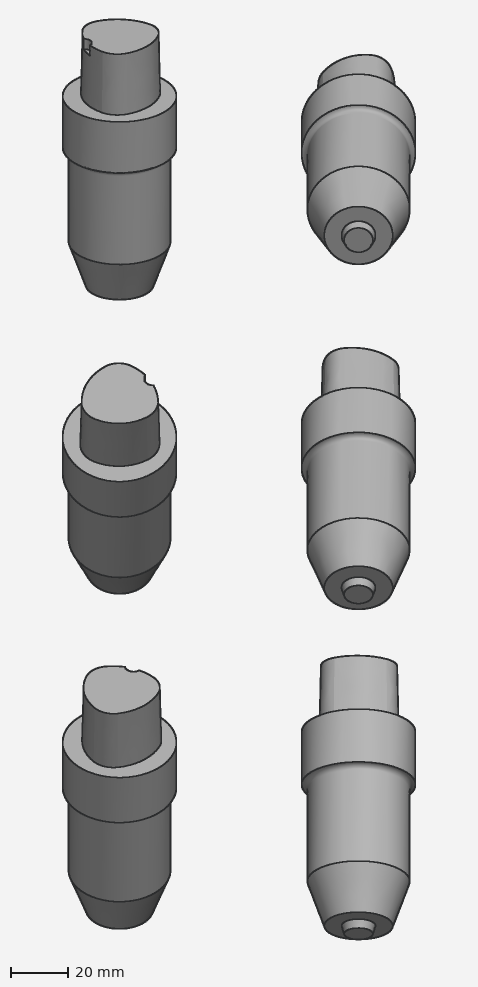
import cadquery as cq
import math

TOTAL_HEIGHT = 101.0
SHANK_HEIGHT = 23.7
FLANGE_HEIGHT = 20.2
RELIEF_HEIGHT = 2.1
NOSE_HEIGHT = 20.0
TIP_HEIGHT = 3.0

FLANGE_RADIUS = 40.0 / 2
BODY_RADIUS = 36.0 / 2
NOSE_END_RADIUS = 12.0
TIP_ROOT_RADIUS = 6.0
TIP_END_RADIUS = 5.0

LOBE_CENTRE_DISTANCE = 5.9
LOBE_RADIUS = 8.9
FLANK_DISTANCE = 13.1
SHANK_INSET = 0.5
LOBE_COUNT = 3

NOTCH_RADIUS = 3.0
NOTCH_DEPTH = 4.0
NOTCH_CENTRE_Y = -13.8

flange_top = TOTAL_HEIGHT - SHANK_HEIGHT
flange_bottom = flange_top - FLANGE_HEIGHT
relief_bottom = flange_bottom - RELIEF_HEIGHT

lobe_across = LOBE_CENTRE_DISTANCE * math.sin(math.pi / LOBE_COUNT)
lobe_along = LOBE_CENTRE_DISTANCE * math.cos(math.pi / LOBE_COUNT)
radius_gap = FLANK_DISTANCE - LOBE_RADIUS
flank_offset = (LOBE_CENTRE_DISTANCE**2 - radius_gap**2) / (2 * (radius_gap - lobe_along))
flank_radius = FLANK_DISTANCE + flank_offset
half_flank = math.degrees(math.atan2(lobe_across, lobe_along + flank_offset))
half_lobe = 180 / LOBE_COUNT - half_flank


def polar(radius, degrees, centre=(0, 0)):
    angle = math.radians(degrees)
    return (centre[0] + radius * math.cos(angle), centre[1] + radius * math.sin(angle))


def make_body():
    """Turned body with a concave relief under the flange and a conical nose."""
    relief_middle = (
        FLANGE_RADIUS - (FLANGE_RADIUS - BODY_RADIUS) * math.sin(math.pi / 4),
        relief_bottom + RELIEF_HEIGHT * math.sin(math.pi / 4),
    )
    profile = (
        cq.Workplane("XZ")
        .lineTo(TIP_END_RADIUS, 0)
        .lineTo(TIP_ROOT_RADIUS, TIP_HEIGHT)
        .lineTo(NOSE_END_RADIUS, TIP_HEIGHT)
        .lineTo(BODY_RADIUS, NOSE_HEIGHT)
        .lineTo(BODY_RADIUS, relief_bottom)
        .threePointArc(relief_middle, (FLANGE_RADIUS, flange_bottom))
        .lineTo(FLANGE_RADIUS, flange_top)
        .lineTo(0, flange_top)
        .close()
    )
    return profile.revolve(360, (0, 0, 0), (0, 1, 0))


def add_lobed_outline(plane, inset):
    """Lobe arcs joined by tangent flank arcs, all drawn in by the inset; one lobe points to +Y."""
    lobe_radius = LOBE_RADIUS - inset
    inset_flank_radius = flank_radius - inset
    first_lobe = 90
    first_centre = polar(LOBE_CENTRE_DISTANCE, first_lobe)
    outline = plane.moveTo(*polar(lobe_radius, first_lobe - half_lobe, first_centre))
    for index in range(LOBE_COUNT):
        lobe_direction = first_lobe + index * 360 / LOBE_COUNT
        lobe_centre = polar(LOBE_CENTRE_DISTANCE, lobe_direction)
        outline = outline.threePointArc(
            polar(lobe_radius, lobe_direction, lobe_centre),
            polar(lobe_radius, lobe_direction + half_lobe, lobe_centre),
        )
        flank_direction = lobe_direction + 180 / LOBE_COUNT
        flank_centre = polar(flank_offset, flank_direction + 180)
        outline = outline.threePointArc(
            polar(inset_flank_radius, flank_direction, flank_centre),
            polar(inset_flank_radius, flank_direction + half_flank, flank_centre),
        )
    return outline.close()


def make_shank():
    base = add_lobed_outline(cq.Workplane("XY", origin=(0, 0, flange_top)), 0)
    return add_lobed_outline(base.workplane(offset=SHANK_HEIGHT), SHANK_INSET).loft(ruled=True)


def make_notch():
    floor = TOTAL_HEIGHT - NOTCH_DEPTH
    return cq.Workplane("XY", origin=(0, NOTCH_CENTRE_Y, floor)).circle(NOTCH_RADIUS).extrude(NOTCH_DEPTH)


result = make_body().union(make_shank().cut(make_notch()))